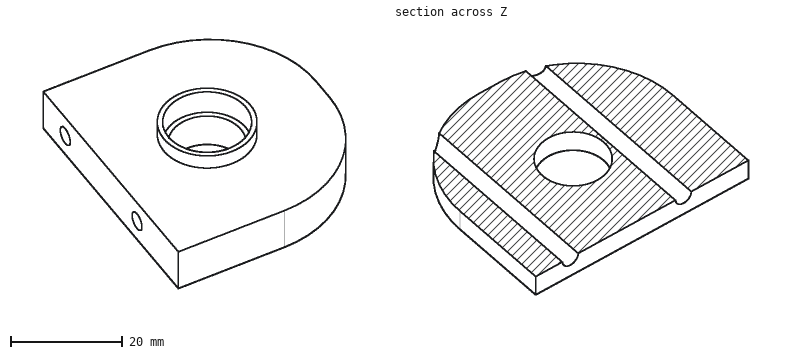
import cadquery as cq

plate_width = 49.0
plate_depth = 44.0
plate_thickness = 9.0
corner_radius = plate_depth / 2

collar_height = 3.0
collar_diameter = 18.0
bore_diameter = 14.0
bore_from_front = 20.0
seat_diameter = 16.0
seat_depth = 5.0

cross_hole_diameter = 3.6
cross_hole_places = (8.0, 34.0)
cross_hole_height = plate_thickness / 2

total_height = plate_thickness + collar_height


def make_plate():
    plate = cq.Workplane("XY").box(plate_width, plate_depth, plate_thickness, centered=False)
    return plate.edges("|Z and >Y").fillet(corner_radius)


def vertical_cylinder(diameter, bottom, height):
    """Cylinder on the bore axis, rising from the given bottom level."""
    base = cq.Workplane("XY", origin=(plate_width / 2, bore_from_front, bottom))
    return base.circle(diameter / 2).extrude(height)


def cross_hole(from_left):
    front = cq.Workplane("XZ", origin=(from_left, 0, cross_hole_height))
    return front.circle(cross_hole_diameter / 2).extrude(-plate_depth)


result = make_plate().union(vertical_cylinder(collar_diameter, 0, total_height))
result = result.cut(vertical_cylinder(bore_diameter, 0, total_height))
result = result.cut(vertical_cylinder(seat_diameter, total_height - seat_depth, seat_depth))
for place in cross_hole_places:
    result = result.cut(cross_hole(place))